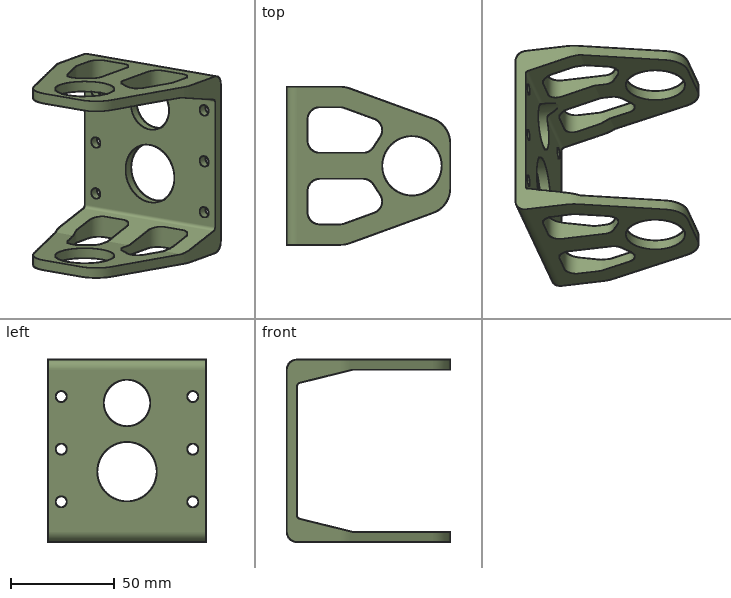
import cadquery as cq
import math

length = 78.7
width = 76.2
height = 87.9
thickness = 5.0
bend_radius = 5.0

root_depth = 11.6
root_end = 31.6
inner_radius = 1.8

taper_start = 28.1
taper_slope = math.tan(math.radians(20))
shoulder_radius = 13.2
shoulder_margin = 0.9
nose_radius = 12.6

bore_diameter = 28.5
arm_bore_x = 60.3
plate_bore_z = -10.0
upper_hole_diameter = 22.2
upper_hole_z = 23.0

mount_diameter = 5.2
mount_y = 31.6
mount_pitch = 25.3
mount_centre_z = 0.8

window_left = 10.1
window_inner_y = 6.3
window_outer_y = 28.1
window_shoulder_x = 26.7
window_inner_x = 40.0
window_tip_x = 48.9
window_radius = 5.7


def channel():
    """C-shaped side profile extruded across the width."""
    half = height / 2
    inner_z = half - thickness
    root_z = half - root_depth
    body = (
        cq.Workplane("XY")
        .box(length, width, height, centered=(False, True, True))
        .edges("|Y and <X")
        .fillet(bend_radius)
    )
    opening = (
        cq.Workplane("XZ")
        .polyline([
            (thickness, -root_z),
            (root_end, -inner_z),
            (length, -inner_z),
            (length, inner_z),
            (root_end, inner_z),
            (thickness, root_z),
        ])
        .close()
        .extrude(width / 2, both=True)
        .edges("|Y and <X")
        .fillet(inner_radius)
    )
    return body.cut(opening)


def arm_outline():
    """Full-height prism with the tapered plan shape of the arms."""
    half = width / 2
    nose_y = half - (length - taper_start) * taper_slope
    shoulder_zone = cq.selectors.BoxSelector(
        (taper_start - shoulder_margin, -width, -height),
        (taper_start + shoulder_margin, width, height),
    )
    return (
        cq.Workplane("XY")
        .polyline([
            (0, -half),
            (taper_start, -half),
            (length, -nose_y),
            (length, nose_y),
            (taper_start, half),
            (0, half),
        ])
        .close()
        .extrude(height / 2, both=True)
        .edges("|Z and >X")
        .fillet(nose_radius)
        .edges(shoulder_zone)
        .edges("|Z")
        .fillet(shoulder_radius)
    )


def window(side):
    """Rounded window through both arms; side is +1 or -1 along Y."""
    tip_y = window_outer_y - (window_tip_x - window_shoulder_x) * taper_slope
    corners = [
        (window_left, window_inner_y),
        (window_inner_x, window_inner_y),
        (window_tip_x, tip_y),
        (window_shoulder_x, window_outer_y),
        (window_left, window_outer_y),
    ]
    return (
        cq.Workplane("XY")
        .polyline([(x, side * y) for x, y in corners])
        .close()
        .extrude(height / 2, both=True)
        .edges("|Z")
        .fillet(window_radius)
    )


def plate_holes(diameter, centres):
    """Cylinders through the back plate and arm roots at the given (Y, Z) centres."""
    return cq.Workplane("YZ").pushPoints(centres).circle(diameter / 2).extrude(root_end)


mount_centres = [
    (side * mount_y, mount_centre_z + row * mount_pitch)
    for side in (-1, 1)
    for row in (-1, 0, 1)
]
arm_bore = (
    cq.Workplane("XY")
    .center(arm_bore_x, 0)
    .circle(bore_diameter / 2)
    .extrude(height / 2, both=True)
)

result = channel().intersect(arm_outline()).cut(arm_bore)
for side in (-1, 1):
    result = result.cut(window(side))
result = result.cut(plate_holes(bore_diameter, [(0, plate_bore_z)]))
result = result.cut(plate_holes(upper_hole_diameter, [(0, upper_hole_z)]))
result = result.cut(plate_holes(mount_diameter, mount_centres))